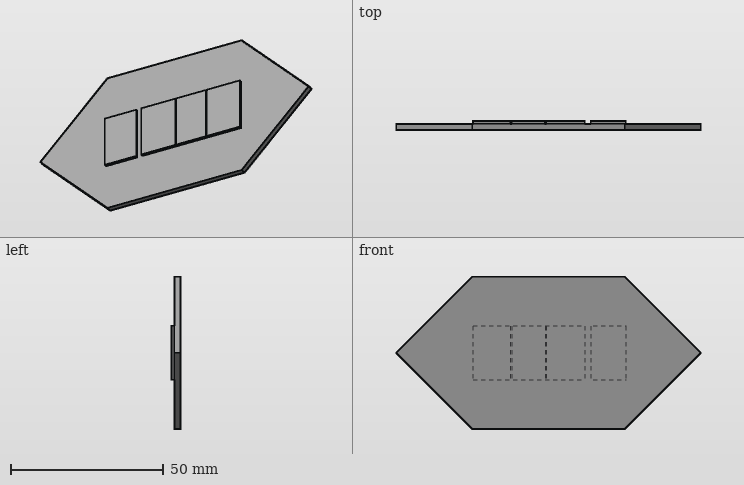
import cadquery as cq

plate_length = 100.0
plate_height = 50.0
plate_thickness = 2.0
point_length = plate_height / 2

pad_spans = [(-24.8, -12.5), (-12.1, -1.1), (-0.8, 11.9), (13.8, 25.4)]
pad_bottom = -8.8
pad_top = 9.0
pad_rise = 1.0


def make_plate():
    """Elongated hexagon with its front face at Y = 0."""
    tip_x = plate_length / 2
    shoulder_x = tip_x - point_length
    edge_z = plate_height / 2
    outline = [
        (-tip_x, 0),
        (-shoulder_x, edge_z),
        (shoulder_x, edge_z),
        (tip_x, 0),
        (shoulder_x, -edge_z),
        (-shoulder_x, -edge_z),
    ]
    return cq.Workplane("XZ").polyline(outline).close().extrude(-plate_thickness)


def make_pad(left, right):
    """Raised block, rooted at the plate's front face so that it fuses with the plate."""
    depth = plate_thickness + pad_rise
    height = pad_top - pad_bottom
    pad = cq.Workplane("XY").box(right - left, depth, height, centered=False)
    return pad.translate((left, 0, pad_bottom))


result = make_plate()
for left_edge, right_edge in pad_spans:
    result = result.union(make_pad(left_edge, right_edge))
result = result.clean()